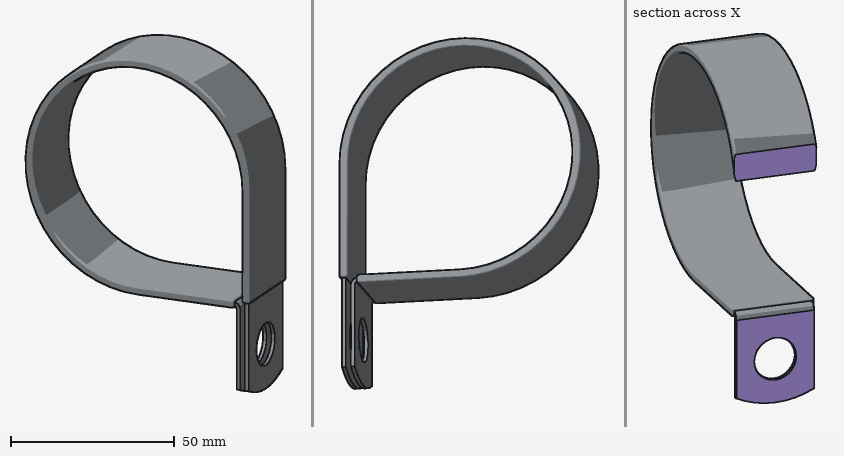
import cadquery as cq
import math


clamped_diameter = 69.85
outer_diameter = 75.46
overall_height = 104.38
cushion_thickness = 0.79375
strap_width = 25.4
flange_gap = 1.57
bend_inner_radius = 1.19
bottom_leg_length = 32.3
hole_diameter = 13.49375
hole_height = 14.2875
flange_tip_radius = 28.575
cushion_rounding = 0.793

cushion_inner_radius = clamped_diameter / 2
cushion_outer_radius = outer_diameter / 2
cushion_width = strap_width + 2 * cushion_thickness
strap_inner_radius = cushion_inner_radius + cushion_thickness
strap_outer_radius = cushion_outer_radius - cushion_thickness
strap_thickness = strap_outer_radius - strap_inner_radius
side_leg_end_z = -strap_inner_radius
flange_bottom_z = cushion_outer_radius - overall_height
bent_flange_outer_x = strap_inner_radius - flange_gap
bent_flange_inner_x = bent_flange_outer_x - strap_thickness
bend_outer_radius = bend_inner_radius + strap_thickness
bend_center_x = bent_flange_outer_x - bend_outer_radius
bend_center_z = -strap_inner_radius - bend_outer_radius
diagonal = math.sqrt(0.5)


def loop_band(inner_radius, outer_radius, width, bottom_end_x, side_end_z):
    """Three-quarter ring with a straight leg along the bottom and one down the +X side."""
    return (
        cq.Workplane("XZ")
        .moveTo(bottom_end_x, -outer_radius)
        .lineTo(0, -outer_radius)
        .threePointArc((-outer_radius * diagonal, outer_radius * diagonal), (outer_radius, 0))
        .lineTo(outer_radius, side_end_z)
        .lineTo(inner_radius, side_end_z)
        .lineTo(inner_radius, 0)
        .threePointArc((-inner_radius * diagonal, inner_radius * diagonal), (0, -inner_radius))
        .lineTo(bottom_end_x, -inner_radius)
        .close()
        .extrude(width / 2, both=True)
    )


def make_cushion():
    """Cushion around the strap loop, rounded along both rims and around both end faces."""
    cushion = loop_band(
        cushion_inner_radius, cushion_outer_radius, cushion_width, bottom_leg_length, side_leg_end_z
    )
    mid_radius = (cushion_inner_radius + cushion_outer_radius) / 2
    bottom_leg_end = cq.selectors.NearestToPointSelector((bottom_leg_length, 0, -mid_radius))
    side_leg_end = cq.selectors.NearestToPointSelector((mid_radius, 0, side_leg_end_z))
    rims = cq.selectors.StringSyntaxSelector("<Y or >Y")
    return cushion.faces(rims + bottom_leg_end + side_leg_end).edges().fillet(cushion_rounding)


def make_bent_flange():
    """Quarter bend from the bottom leg into the flange that hangs down."""
    def bend_midpoint(radius):
        return bend_center_x + radius * diagonal, bend_center_z + radius * diagonal

    return (
        cq.Workplane("XZ")
        .moveTo(bend_center_x, -strap_inner_radius)
        .threePointArc(bend_midpoint(bend_outer_radius), (bent_flange_outer_x, bend_center_z))
        .lineTo(bent_flange_outer_x, flange_bottom_z)
        .lineTo(bent_flange_inner_x, flange_bottom_z)
        .lineTo(bent_flange_inner_x, bend_center_z)
        .threePointArc(bend_midpoint(bend_inner_radius), (bend_center_x, -strap_outer_radius))
        .close()
        .extrude(strap_width / 2, both=True)
    )


def make_tip_cutter():
    """Waste below the flange tips: a bar along +X whose upper side is the tip arc."""
    half_width = strap_width / 2
    tip_center_z = flange_bottom_z + flange_tip_radius
    corner_z = tip_center_z - math.sqrt(flange_tip_radius**2 - half_width**2)
    return (
        cq.Workplane("YZ")
        .moveTo(-half_width, flange_bottom_z)
        .lineTo(-half_width, corner_z)
        .threePointArc((0, flange_bottom_z), (half_width, corner_z))
        .lineTo(half_width, flange_bottom_z)
        .close()
        .extrude(cushion_outer_radius)
    )


def make_hole_cutter():
    """Bolt hole along X through both flanges."""
    return (
        cq.Workplane("YZ")
        .center(0, flange_bottom_z + hole_height)
        .circle(hole_diameter / 2)
        .extrude(cushion_outer_radius)
    )


def make_strap():
    """Metal strap: the loop, both flanges, their rounded tips and the bolt hole."""
    loop = loop_band(
        strap_inner_radius, strap_outer_radius, strap_width, bend_center_x, flange_bottom_z
    )
    return loop.union(make_bent_flange()).cut(make_tip_cutter()).cut(make_hole_cutter())


result = make_cushion().union(make_strap())